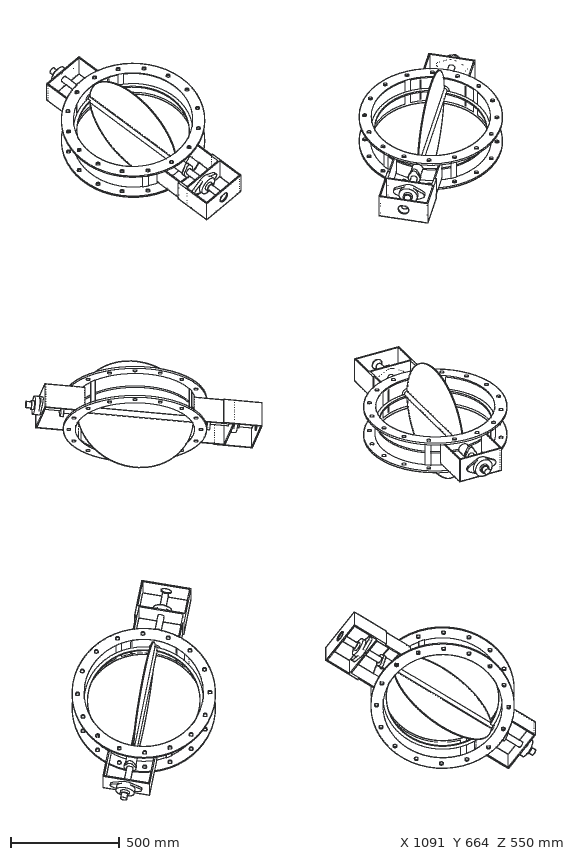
import cadquery as cq
import math

BODY_BORE = 551.0
BODY_WALL = 4.0
BODY_HEIGHT = 160.0
FLANGE_DIAMETER = 664.0
FLANGE_THICKNESS = 10.0
BOLT_CIRCLE = 612.0
BOLT_HOLE = 18.0
BOLT_COUNT = 16

STOP_BORE = 520.0
STOP_THICKNESS = 8.0

DISC_DIAMETER = 550.0
DISC_THICKNESS = 5.0
SHAFT_DIAMETER = 30.0
SHAFT_LEFT = -514.0
SHAFT_RIGHT = 554.0

BRACKET_REACH = 447.0
BRACKET_WIDTH = 220.0
BRACKET_HEIGHT = 120.0
PLATE = 6.0

GUARD_START = 396.0
GUARD_END = 577.0
GUARD_HOLE = 50.0

BEARING_DIAMETER = 87.0
BEARING_LENGTH = 31.0
BEARING_LUG_HALF_SPAN = 74.0
BEARING_LUG_RADIUS = 15.0
LEFT_LUG_THICKNESS = 10.0
RIGHT_LUG_THICKNESS = 15.0
COLLAR_DIAMETER = 42.0
COLLAR_LENGTH = 43.0

SEAL_DIAMETER = 50.0
GLAND_DIAMETER = 57.0
GLAND_THICKNESS = 14.0
GLAND_END = 352.0
GLAND_LUG_HALF_SPAN = 45.0
GLAND_LUG_RADIUS = 12.0

PAD_ANGLE = 35.0
PAD_WIDTH = 28.0
PAD_RISE = 2.0

body_radius = BODY_BORE / 2 + BODY_WALL


def x_cylinder(diameter, start, end):
    """Round bar along X."""
    return cq.Workplane("YZ").workplane(offset=start).circle(diameter / 2).extrude(end - start)


def box_between(x_start, x_end, width, height):
    """Block centred on the shaft axis in Y and Z."""
    return cq.Workplane("XY").box(x_end - x_start, width, height).translate(((x_start + x_end) / 2, 0, 0))


def lug_plate(hub_diameter, half_span, lug_radius, start, end):
    """Two-lug plate along X: a round hub and two round tips along Y joined by tangent edges."""
    hub = hub_diameter / 2
    tip = half_span - lug_radius
    lean = (hub - lug_radius) / tip
    rise = math.sqrt(1 - lean**2)
    tip_y = tip + lug_radius * lean
    tip_z = lug_radius * rise
    lugs = (
        cq.Workplane("YZ")
        .workplane(offset=start)
        .moveTo(hub * lean, hub * rise)
        .lineTo(tip_y, tip_z)
        .threePointArc((half_span, 0), (tip_y, -tip_z))
        .lineTo(hub * lean, -hub * rise)
        .lineTo(-hub * lean, -hub * rise)
        .lineTo(-tip_y, -tip_z)
        .threePointArc((-half_span, 0), (-tip_y, tip_z))
        .lineTo(-hub * lean, hub * rise)
        .close()
        .extrude(end - start)
    )
    return lugs.union(x_cylinder(hub_diameter, start, end))


def duct_body():
    tube = cq.Workplane("XY").circle(body_radius).extrude(BODY_HEIGHT / 2, both=True)
    for bottom in (-BODY_HEIGHT / 2, BODY_HEIGHT / 2 - FLANGE_THICKNESS):
        flange = (
            cq.Workplane("XY")
            .workplane(offset=bottom)
            .circle(FLANGE_DIAMETER / 2)
            .polarArray(BOLT_CIRCLE / 2, 180 / BOLT_COUNT, 360, BOLT_COUNT)
            .circle(BOLT_HOLE / 2)
            .extrude(FLANGE_THICKNESS)
        )
        tube = tube.union(flange)
    return tube


def body_pads():
    pads = cq.Workplane("XY")
    height = BODY_HEIGHT - 2 * FLANGE_THICKNESS
    depth = body_radius + PAD_RISE - BODY_BORE / 2
    for angle in (PAD_ANGLE, 180 - PAD_ANGLE, 180 + PAD_ANGLE, -PAD_ANGLE):
        pad = cq.Workplane("XY").box(depth, PAD_WIDTH, height)
        pad = pad.translate((BODY_BORE / 2 + depth / 2, 0, 0))
        pads = pads.add(pad.rotate((0, 0, 0), (0, 0, 1), angle))
    return pads.combine()


def stop_ring():
    """Upper half ring on the -Y side of the disc, lower half ring on the +Y side."""
    outer_radius = (BODY_BORE + BODY_WALL) / 2
    ring = cq.Workplane("XY").circle(outer_radius).circle(STOP_BORE / 2).extrude(STOP_THICKNESS)
    half = cq.Workplane("XY").box(2 * body_radius, body_radius, BODY_HEIGHT)
    upper = ring.intersect(half.translate((0, -body_radius / 2, 0)))
    lower = upper.rotate((0, 0, 0), (1, 0, 0), 180)
    return upper.union(lower)


def bracket_walls():
    """Both bearing brackets as one long frame, cleared where the body sits."""
    frame = box_between(-BRACKET_REACH, BRACKET_REACH, BRACKET_WIDTH, BRACKET_HEIGHT)
    inner_reach = BRACKET_REACH - PLATE
    return frame.cut(box_between(-inner_reach, inner_reach, BRACKET_WIDTH - 2 * PLATE, BRACKET_HEIGHT))


def guard():
    width = BRACKET_WIDTH + 2 * PLATE
    shell = box_between(GUARD_START, GUARD_END, width, BRACKET_HEIGHT)
    shell = shell.cut(box_between(GUARD_START, GUARD_END - PLATE, BRACKET_WIDTH, BRACKET_HEIGHT))
    return shell.cut(x_cylinder(GUARD_HOLE, GUARD_END - PLATE, GUARD_END))


def bearing(lug_thickness):
    """Bearing on the +X side."""
    lugs = lug_plate(
        BEARING_DIAMETER,
        BEARING_LUG_HALF_SPAN,
        BEARING_LUG_RADIUS,
        BRACKET_REACH,
        BRACKET_REACH + lug_thickness,
    )
    housing = x_cylinder(BEARING_DIAMETER, BRACKET_REACH, BRACKET_REACH + BEARING_LENGTH)
    collar = x_cylinder(COLLAR_DIAMETER, BRACKET_REACH, BRACKET_REACH + COLLAR_LENGTH)
    return lugs.union(housing).union(collar)


def shaft_seal():
    """Seal on the +X side: a round housing and a gland with its lugs along Z."""
    housing = x_cylinder(SEAL_DIAMETER, BODY_BORE / 2, GLAND_END)
    gland = lug_plate(
        GLAND_DIAMETER, GLAND_LUG_HALF_SPAN, GLAND_LUG_RADIUS, GLAND_END - GLAND_THICKNESS, GLAND_END
    )
    return housing.union(gland.rotate((0, 0, 0), (1, 0, 0), 90))


def to_left(shape):
    return shape.mirror("YZ")


bore = cq.Workplane("XY").circle(BODY_BORE / 2).extrude(BODY_HEIGHT / 2, both=True)
housing = (
    duct_body()
    .union(body_pads())
    .union(bracket_walls())
    .union(shaft_seal())
    .union(to_left(shaft_seal()))
    .cut(bore)
)
disc = cq.Workplane("XZ").circle(DISC_DIAMETER / 2).extrude(DISC_THICKNESS / 2, both=True)

result = (
    housing.union(x_cylinder(SHAFT_DIAMETER, SHAFT_LEFT, SHAFT_RIGHT))
    .union(stop_ring())
    .union(disc)
    .union(bearing(RIGHT_LUG_THICKNESS))
    .union(to_left(bearing(LEFT_LUG_THICKNESS)))
    .union(guard())
)